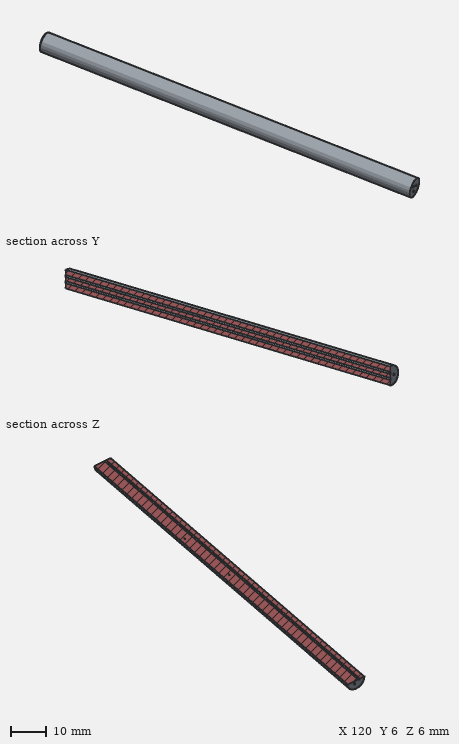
import cadquery as cq

length = 120.0
diameter = 6.0
end_chamfer = 0.3

bore_count = 3
bore_diameter = 0.5
bore_circle_radius = 1.1


def make_rod():
    """Round rod centred on the origin, chamfered at its -X end."""
    rod = cq.Workplane("YZ").circle(diameter / 2).extrude(length / 2, both=True)
    return rod.faces("<X").chamfer(end_chamfer)


def make_bores():
    """Straight bores through the full length, the first one on the +Y side."""
    return (
        cq.Workplane("YZ")
        .polarArray(bore_circle_radius, 0, 360, bore_count)
        .circle(bore_diameter / 2)
        .extrude(length / 2, both=True)
    )


result = make_rod().cut(make_bores())